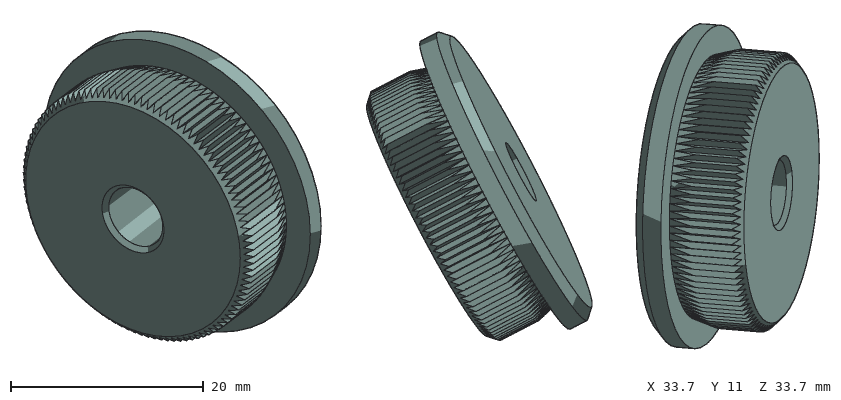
import cadquery as cq
import math

flange_radius = 16.85
flange_thickness = 3.0
flange_chamfer = 1.0

boss_length = 8.0
tooth_count = 110
tip_radius = 14.55
tooth_angle = 60.0
lead_in_length = 2.5
boss_chamfer = 1.0

bore_radius = 3.4
countersink = 0.5

half_step = math.pi / tooth_count
half_groove = tip_radius * math.sin(half_step)
groove_depth = half_groove / math.tan(math.radians(tooth_angle / 2))
root_radius = tip_radius * math.cos(half_step) - groove_depth

boss_end = flange_thickness + boss_length


def revolve_about_y(profile):
    """Solid of revolution from (radius, distance toward -Y) points."""
    points = [(radius, -distance) for radius, distance in profile]
    return cq.Workplane("XY").polyline(points).close().revolve(360, (0, 0), (0, 1))


def make_flange():
    return revolve_about_y([
        (0, 0),
        (flange_radius - flange_chamfer, 0),
        (flange_radius, flange_chamfer),
        (flange_radius, flange_thickness),
        (0, flange_thickness),
    ])


def make_boss_envelope():
    """Round outline of the boss: tapered beside the flange, chamfered at the free end."""
    return revolve_about_y([
        (0, flange_thickness),
        (root_radius, flange_thickness),
        (tip_radius, flange_thickness + lead_in_length),
        (tip_radius, boss_end - boss_chamfer),
        (tip_radius - boss_chamfer, boss_end),
        (0, boss_end),
    ])


def make_toothed_prism():
    """Straight prism of pointed teeth, with one V root exactly at +Z."""
    points = []
    for tooth in range(tooth_count):
        root_angle = math.pi / 2 + 2 * tooth * half_step
        tip_angle = root_angle + half_step
        points.append((root_radius * math.cos(root_angle), root_radius * math.sin(root_angle)))
        points.append((tip_radius * math.cos(tip_angle), tip_radius * math.sin(tip_angle)))
    start = cq.Workplane("XZ", origin=(0, -flange_thickness, 0))
    return start.polyline(points).close().extrude(boss_length)


def make_bore():
    """Through hole, countersunk at the free end of the boss."""
    return revolve_about_y([
        (0, 0),
        (bore_radius, 0),
        (bore_radius, boss_end - countersink),
        (bore_radius + countersink, boss_end),
        (0, boss_end),
    ])


boss = make_toothed_prism().intersect(make_boss_envelope())
result = make_flange().union(boss).cut(make_bore())